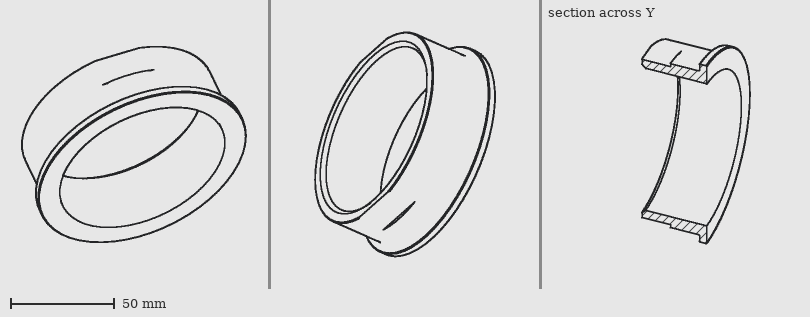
import cadquery as cq

length = 34.0
flange_diameter = 107.0
flange_thickness = 4.0
body_diameter = 98.5
bore_diameter = 85.0

flange_chamfer = 0.4
body_chamfer = 0.4
bore_chamfer = 2.0
fillet_radius = 0.4

flat_spacing = 95.0
flat_length = 15.0

flange_start = length - flange_thickness


def make_ring():
    """Revolve the flanged ring about X, with a chamfered bore mouth."""
    bore_radius = bore_diameter / 2
    body_radius = body_diameter / 2
    flange_radius = flange_diameter / 2
    profile = (
        cq.Workplane("XY")
        .moveTo(0, bore_radius + bore_chamfer)
        .lineTo(0, body_radius - body_chamfer)
        .lineTo(body_chamfer, body_radius)
        .lineTo(flange_start - fillet_radius, body_radius)
        .radiusArc((flange_start, body_radius + fillet_radius), -fillet_radius)
        .lineTo(flange_start, flange_radius - flange_chamfer)
        .lineTo(flange_start + flange_chamfer, flange_radius)
        .lineTo(length - flange_chamfer, flange_radius)
        .lineTo(length, flange_radius - flange_chamfer)
        .lineTo(length, bore_radius)
        .lineTo(bore_chamfer, bore_radius)
        .close()
    )
    return profile.revolve(360, (0, 0, 0), (1, 0, 0))


def flat_cutter(side):
    """Block beyond one flat; side is +1 for the top and -1 for the bottom."""
    height = flange_diameter - flat_spacing
    return (
        cq.Workplane("XY")
        .box(flat_length, flange_diameter, height, centered=(False, True, True))
        .translate((0, 0, side * (flat_spacing + height) / 2))
    )


result = make_ring()
for side in (1, -1):
    result = result.cut(flat_cutter(side))

result = result.translate((-length / 2, 0, 0))